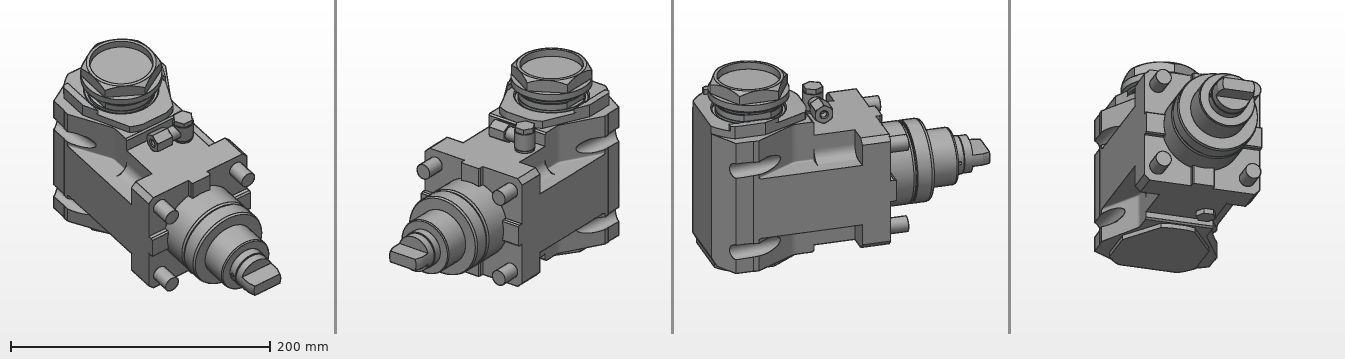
import math

import cadquery as cq


half_width = 47.0
back_half_width = 46.5
back_flat_half = 24.3
back_bevel_length = 13.0
flank_step_x = 27.0
head_bottom = -53.0
head_top = 58.5
head_front = 82.2
head_bevel_x = 3.0
head_bevel_z = 5.5
head_front_bevel = 1.4
taper_start_x = 31.5
taper_angle = 30
taper_fillet = 9.2
waist_half_width = 27.3
band_half_height = 25.5
ledge_fillet = 1.4
pick_margin = 0.2
pocket_fillet = 9.2
flange_back = 115.2
flange_front = 138.0
flange_bevel = 4.4

key_length = 4.8
key_half_width = 9.0
key_bevel_length = 1.8
key_bevel_depth = 0.7

screw_radius = 6.2
screw_y = 36.5
screw_z = 34.8
screw_end = 154.1
groove_radius = 6.2
groove_start_y = 47.0
groove_start_x = 9.6
groove_tilt = 7.8
groove_lead = 34.4
groove_length = 103.0

spindle_x = 37.8
cap_radius = 44.5
cap_half_width = 38.0
cap_front = 80.8
cap_height = 6.2
moat_radius = 28.5
moat_depth = 2.3
moat_bevel = 1.0
cap_slant_start = (39.5, 38.0)
cap_slant_end = (77.2, 20.5)
rib_height = 4.1
rib_back = 12.0
rib_inner_y = 32.3
neck_radius = 25.6
neck_foot_radius = 26.0
neck_height = 5.5
neck_flat_half = 23.1
neck_bevel = 0.5
thread_radius = 24.7
thread_length = 1.4
base_radius = 42.1
base_half_width = 35.0
base_back = 3.0
base_front = 79.5
base_thickness = 3.7
base_slant_start = (47.6, 35.0)
base_slant_end = (77.6, 13.7)

fitting_x = 95.0
fitting_y = 17.2
fitting_neck_radius = 7.5
fitting_radius = 8.0
fitting_bottom = 48.8
fitting_top = 63.2
hex_across_flats = 13.7
hex_head_height = 4.1
nozzle_z = 55.9
nozzle_tube_radius = 5.5
nozzle_back_y = 2.3
nozzle_front_y = -12.1
nozzle_bevel = 0.7
nozzle_bore_radius = 2.5
nozzle_mouth_radius = 3.5
nozzle_mouth_angle = 90
nozzle_bore_depth = 6.9

shank_radius = 32.5
shank_taper_start = 161.5
shank_groove_back = 163.5
shank_groove_front = 164.7
shank_groove_radius = 31.1
shank_taper_radius = 31.8
collar_front = 178.2
collar_bevel_length = 2.0
collar_bevel_depth = 0.7
journal_radius = 22.5
journal_front = 200.8
journal_bevel_length = 1.4
journal_bevel_depth = 0.5
seat_radius = 15.0
seat_front = 207.5
seat_bevel_front = 208.2
tang_radius = 14.7
tang_back = 214.8
tang_bevel_start = 223.0
tang_end_radius = 12.8
tang_end = 229.0
tang_half_height = 4.8
cross_hole_x = 204.0
cross_hole_radius = 1.4
cross_hole_depth = 3.5

disc_radius = 31.4
disc_bottom = 75.8
disc_bevel_radius = 28.6
disc_bevel_bottom = 74.5
lip_radius = 27.3
lip_bottom = 73.0
skirt_radius = 25.0
skirt_bevel = 0.5
hex_bottom = 81.3
nut_top = 91.5
nut_across_flats = 54.3
nut_bevel_height = 3.2
nut_top_radius = 27.0
recess_radius = 24.5
recess_depth = 6.0

cap_top = head_top + cap_height


def mirrored(points):
    """Close a plan outline given by its +Y half, listed from back to front."""
    return points + [(x, -y) for x, y in reversed(points)]


def prism(points, bottom, top):
    return cq.Workplane("XY").workplane(offset=bottom).polyline(points).close().extrude(top - bottom)


def block(x_range, y_range, z_range):
    size = [high - low for low, high in (x_range, y_range, z_range)]
    corner = (x_range[0], y_range[0], z_range[0])
    return cq.Workplane("XY").box(*size, centered=False).translate(corner)


def upright_cylinder(radius, x, y, bottom, top):
    return cq.Workplane("XY", origin=(x, y, bottom)).circle(radius).extrude(top - bottom)


def upright_hex(across_flats, x, y, bottom, top):
    """Hexagonal prism with two corners in the Y direction."""
    diameter = across_flats / math.cos(math.pi / 6)
    hexagon = cq.Workplane("XY").polygon(6, diameter).extrude(top - bottom)
    return hexagon.rotate((0, 0, 0), (0, 0, 1), 90).translate((x, y, bottom))


def make_head():
    rear = [
        (0, back_flat_half),
        (back_bevel_length, back_half_width),
        (flank_step_x, back_half_width),
        (flank_step_x, half_width),
    ]
    waist_start_x = taper_start_x + (half_width - waist_half_width) / math.tan(math.radians(taper_angle))
    tapered = rear + [
        (taper_start_x, half_width),
        (waist_start_x, waist_half_width),
        (head_front, waist_half_width),
    ]
    head = prism(mirrored(tapered), head_bottom, head_top)
    waist_corners = cq.selectors.BoxSelector(
        (waist_start_x - pick_margin, -half_width, head_bottom),
        (waist_start_x + pick_margin, half_width, head_top),
    )
    head = head.edges("|Z").edges(waist_corners).fillet(taper_fillet)
    head = head.faces(">X").edges("|Y").chamfer(head_front_bevel)

    band = prism(mirrored(rear + [(head_front, half_width)]), -band_half_height, band_half_height)
    head = head.union(band)
    for side in (-1, 1):
        for level in (-band_half_height, band_half_height):
            wall_foot = cq.selectors.BoxSelector(
                (taper_start_x, side * (half_width - pick_margin), level - pick_margin),
                (head_front - pick_margin, side * (waist_half_width - pick_margin), level + pick_margin),
            )
            head = head.edges(wall_foot).fillet(ledge_fillet)

    back_bevel = (
        cq.Workplane("XZ", origin=(0, half_width, 0))
        .polyline([(0, head_bottom), (head_bevel_x, head_bottom), (0, head_bottom + head_bevel_z)])
        .close()
        .extrude(2 * half_width)
    )
    return head.cut(back_bevel)


def make_waist():
    waist = block(
        (head_front, flange_back), (-half_width, half_width), (-half_width, half_width)
    )
    corner_size = half_width - waist_half_width
    corner_height = half_width - band_half_height
    for y_side in (-1, 1):
        for z_side in (-1, 1):
            corner = (
                cq.Workplane("YZ", origin=(head_front, 0, 0))
                .center(
                    y_side * (waist_half_width + corner_size / 2),
                    z_side * (band_half_height + corner_height / 2),
                )
                .rect(corner_size, corner_height)
                .extrude(flange_back - head_front)
            )
            inner_face = "<Y" if y_side > 0 else ">Y"
            inner_edge = "<Z" if z_side > 0 else ">Z"
            corner = corner.faces(inner_face).edges(inner_edge).fillet(pocket_fillet)
            waist = waist.cut(corner)
    return waist


def make_flange():
    side = 2 * half_width
    flange = cq.Workplane("YZ", origin=(flange_back, 0, 0)).rect(side, side)
    return flange.extrude(flange_front - flange_back).edges("|X").chamfer(flange_bevel)


def make_keys():
    """Four keys on the flange face, from the flange edge in to the shank."""
    tip = flange_front + key_length
    tip_half_width = key_half_width - key_bevel_depth
    outline = [
        (flange_front, key_half_width),
        (tip - key_bevel_length, key_half_width),
        (tip, tip_half_width),
    ]
    bar = prism(mirrored(outline), -half_width, half_width)
    return bar.union(bar.rotate((0, 0, 0), (1, 0, 0), 90))


def make_screws():
    places = [(y, z) for y in (-screw_y, screw_y) for z in (-screw_z, screw_z)]
    face = cq.Workplane("YZ", origin=(flange_front, 0, 0))
    return face.pushPoints(places).circle(screw_radius).extrude(screw_end - flange_front)


def cut_access_grooves(body):
    tilt = math.radians(groove_tilt)
    for y_side in (-1, 1):
        for z in (-screw_z, screw_z):
            direction = cq.Vector(math.cos(tilt), -y_side * math.sin(tilt), 0)
            axis_point = cq.Vector(groove_start_x, y_side * groove_start_y, z)
            start = axis_point - direction * groove_lead
            groove = cq.Solid.makeCylinder(groove_radius, groove_length, start, direction)
            body = body.cut(cq.Workplane(groove))
    return body


def seat_plate(radius, half_y, back, front, slant_start, slant_end, bottom, top):
    """Plate bounded by a circle about the spindle, two flat sides, two slants and flat ends."""
    slope = (slant_end[1] - slant_start[1]) / (slant_end[0] - slant_start[0])
    outline = [
        (back, half_y),
        slant_start,
        (front, slant_start[1] + slope * (front - slant_start[0])),
    ]
    return prism(mirrored(outline), bottom, top).intersect(
        upright_cylinder(radius, spindle_x, 0, bottom, top)
    )


def make_cap(bottom, top):
    return seat_plate(
        cap_radius, cap_half_width, 0, cap_front, cap_slant_start, cap_slant_end, bottom, top
    )


def make_ribs():
    rib_top = cap_top + rib_height
    plate = make_cap(cap_top, rib_top)
    ribs = plate.intersect(
        block((rib_back, cap_front), (-half_width, half_width), (cap_top, rib_top))
    )
    return ribs.cut(block((0, cap_front), (-rib_inner_y, rib_inner_y), (cap_top, rib_top)))


def make_spindle_neck():
    top = cap_top + neck_height
    neck = upright_cylinder(neck_radius, spindle_x, 0, cap_top, top).faces(">Z").chamfer(neck_bevel)
    flats = block(
        (spindle_x - neck_radius, spindle_x + neck_radius),
        (-neck_flat_half, neck_flat_half),
        (cap_top, top),
    )
    thread = upright_cylinder(thread_radius, spindle_x, 0, top, top + thread_length)
    return neck.intersect(flats).union(thread)


def cut_moat(cap):
    """Sink a ring with a bevelled rim into the cap, leaving a round foot under the neck."""
    floor = cap_top - moat_depth
    section = [
        (neck_foot_radius, floor),
        (moat_radius, floor),
        (moat_radius, cap_top - moat_bevel),
        (moat_radius + moat_bevel, cap_top),
        (neck_foot_radius, cap_top),
    ]
    ring = cq.Workplane("XZ").polyline(section).close().revolve(360, (0, 0, 0), (0, 1, 0))
    return cap.cut(ring.translate((spindle_x, 0, 0)))


def make_base():
    return seat_plate(
        base_radius, base_half_width, base_back, base_front,
        base_slant_start, base_slant_end, head_bottom - base_thickness, head_bottom,
    )


def make_fitting():
    neck = upright_cylinder(fitting_neck_radius, fitting_x, fitting_y, half_width, fitting_bottom)
    barrel = upright_cylinder(fitting_radius, fitting_x, fitting_y, fitting_bottom, fitting_top)
    head = upright_hex(
        hex_across_flats, fitting_x, fitting_y, fitting_top, fitting_top + hex_head_height
    )
    tube = (
        cq.Workplane("XZ", origin=(fitting_x, fitting_y, nozzle_z))
        .circle(nozzle_tube_radius)
        .extrude(fitting_y - nozzle_back_y)
    )
    length = nozzle_back_y - nozzle_front_y
    nozzle = upright_hex(hex_across_flats, 0, 0, 0, length)
    corner_radius = hex_across_flats / math.sqrt(3)
    rim = cq.Workplane("XY").circle(corner_radius).extrude(length).faces(">Z").chamfer(nozzle_bevel)
    nozzle = nozzle.intersect(rim)
    nozzle = nozzle.faces(">Z").workplane().cskHole(
        2 * nozzle_bore_radius, 2 * nozzle_mouth_radius, nozzle_mouth_angle, nozzle_bore_depth
    )
    nozzle = nozzle.rotate((0, 0, 0), (1, 0, 0), 90).translate((fitting_x, nozzle_back_y, nozzle_z))
    return neck.union(barrel).union(head).union(tube).union(nozzle)


def make_plug():
    return upright_hex(
        hex_across_flats, fitting_x, fitting_y, -half_width - hex_head_height, -half_width
    )


def make_shank():
    profile = [
        (flange_front, 0),
        (flange_front, shank_radius),
        (shank_taper_start, shank_radius),
        (shank_groove_back, shank_taper_radius),
        (shank_groove_back, shank_groove_radius),
        (shank_groove_front, shank_groove_radius),
        (shank_groove_front, shank_radius),
        (collar_front - collar_bevel_length, shank_radius),
        (collar_front, shank_radius - collar_bevel_depth),
        (collar_front, journal_radius),
        (journal_front - journal_bevel_length, journal_radius),
        (journal_front, journal_radius - journal_bevel_depth),
        (journal_front, seat_radius),
        (seat_front, seat_radius),
        (seat_bevel_front, tang_radius),
        (tang_bevel_start, tang_radius),
        (tang_end, tang_end_radius),
        (tang_end, 0),
    ]
    shank = cq.Workplane("XY").polyline(profile).close().revolve(360, (0, 0, 0), (1, 0, 0))
    for low, high in ((tang_half_height, tang_radius), (-tang_radius, -tang_half_height)):
        shank = shank.cut(block((tang_back, tang_end), (-tang_radius, tang_radius), (low, high)))
    cross_hole = (
        cq.Workplane("XZ", origin=(cross_hole_x, -seat_radius + cross_hole_depth, 0))
        .circle(cross_hole_radius)
        .extrude(cross_hole_depth)
    )
    return shank.cut(cross_hole)


def make_housing():
    body = cut_access_grooves(make_head())
    parts = [
        make_waist(), make_flange(), make_keys(), make_screws(), make_shank(),
        cut_moat(make_cap(head_top, cap_top)), make_ribs(), make_spindle_neck(), make_base(),
        make_fitting(), make_plug(),
    ]
    for part in parts:
        body = body.union(part)
    return body


def make_collet_nut():
    bottom = cap_top + neck_height + thread_length
    flange_profile = [
        (0, bottom),
        (skirt_radius - skirt_bevel, bottom),
        (skirt_radius, bottom + skirt_bevel),
        (skirt_radius, lip_bottom),
        (lip_radius, lip_bottom),
        (disc_bevel_radius, disc_bevel_bottom),
        (disc_radius, disc_bottom),
        (disc_radius, hex_bottom),
        (0, hex_bottom),
    ]
    disc = cq.Workplane("XZ").polyline(flange_profile).close().revolve(360, (0, 0, 0), (0, 1, 0))
    hexagon = (
        cq.Workplane("XY", origin=(0, 0, hex_bottom))
        .polygon(6, nut_across_flats / math.cos(math.pi / 6))
        .extrude(nut_top - hex_bottom)
    )
    crown_profile = [
        (0, hex_bottom),
        (disc_radius, hex_bottom),
        (disc_radius, nut_top - nut_bevel_height),
        (nut_top_radius, nut_top),
        (0, nut_top),
    ]
    crown = cq.Workplane("XZ").polyline(crown_profile).close().revolve(360, (0, 0, 0), (0, 1, 0))
    nut = disc.union(hexagon.intersect(crown))
    nut = nut.cut(upright_cylinder(recess_radius, 0, 0, nut_top - recess_depth, nut_top))
    return nut.translate((spindle_x, 0, 0))


housing = make_housing()
collet_nut = make_collet_nut()

result = cq.Compound.makeCompound([housing.val(), collet_nut.val()])